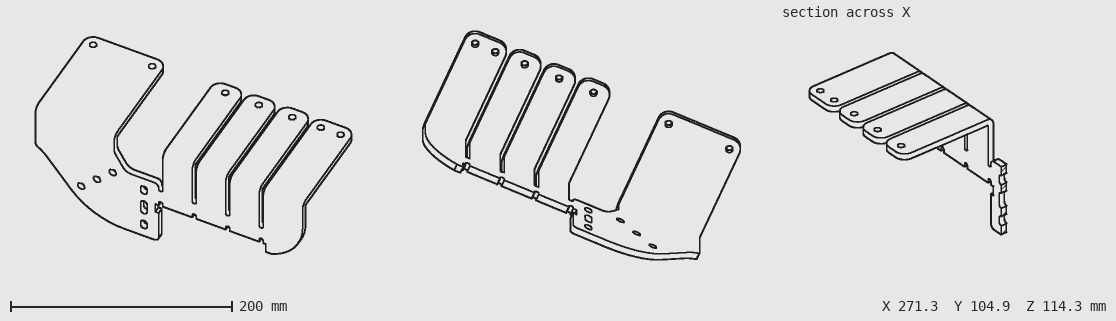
import cadquery as cq
import math

length = 271.27
flange_depth = 104.87
height = 114.3
thickness = 6.35
inner_bend_radius = 0.75
outer_bend_radius = inner_bend_radius + thickness
bend_z = height - outer_bend_radius

wide_tab_width = 80.0
end_tab_width = 40.0
relief_width = 4.0
relief_pitch = 34.0
narrow_tab_count = 3
tab_corner_radius = 10.0
tab_hole_diameter = 6.4
tab_hole_inset = 10.0

shelf_z = height - 41.0
relief_floor_z = height - 49.3
notch_roof_z = height - 63.1
spine_bottom_z = height - 68.1
foot_bottom_z = height - 78.0
last_relief_x = length - end_tab_width - relief_width / 2
relief_xs = [last_relief_x - i * relief_pitch for i in range(narrow_tab_count, -1, -1)]
plate_right_x = relief_xs[0] - relief_width / 2
step_depth = 3.5
step_left_x = plate_right_x - step_depth
foot_left_x = 233.9
plate_corner_radius = 5.0

shoulder_top_z = height - 20.5
shoulder_angle = math.radians(60)
shoulder_radius = 10.5

left_edge_bottom_z = height - 47.8
slant_start = (8.2, height - 53.6)
slant_angle = math.radians(51.2)
ledge_outer_radius = 5.0
ledge_inner_radius = 40.0
belly_radius = 70.0

end_radius = 50.0
foot_tip_x = 240.0

web_hole_diameter = 7.0
web_hole_pitch = 16.0
web_hole_count = 3
web_hole_first = (46.5, height - 79.6)
slot_width = 6.4
slot_x = 110.15
slot_middle_z = height - 77.6
slot_pitch = 22.0
short_slot_length = 9.8
long_slot_length = 15.9


def round_corner(plate, x, z, radius):
    """Round the plate edge that runs along Y through (x, z)."""
    corner = cq.selectors.NearestToPointSelector((x, thickness / 2, z))
    return plate.edges("|Y").edges(corner).fillet(radius)


def make_web():
    """Flat vertical plate, reaching up to the start of the bend."""
    shoulder_foot_x = wide_tab_width + (shoulder_top_z - shelf_z) / math.tan(shoulder_angle)
    slant_x, slant_z = slant_start
    belly_x = slant_x + slant_z / math.tan(slant_angle)
    end_center_x = length - end_radius
    end_center_z = foot_bottom_z + math.sqrt(end_radius**2 - (foot_tip_x - end_center_x) ** 2)
    tip_angle = math.atan2(foot_bottom_z - end_center_z, foot_tip_x - end_center_x)
    first_tab_left_x = plate_right_x + relief_width
    first_relief_base_z = relief_floor_z + relief_width / 2
    end_middle = (
        end_center_x + end_radius * math.cos(tip_angle / 2),
        end_center_z + end_radius * math.sin(tip_angle / 2),
    )
    plate = (
        cq.Workplane("XZ")
        .moveTo(0, bend_z)
        .lineTo(0, left_edge_bottom_z)
        .lineTo(slant_x, slant_z)
        .lineTo(belly_x, 0)
        .lineTo(plate_right_x, 0)
        .lineTo(plate_right_x, foot_bottom_z)
        .lineTo(step_left_x, foot_bottom_z)
        .lineTo(step_left_x, spine_bottom_z)
        .lineTo(foot_left_x, spine_bottom_z)
        .lineTo(foot_left_x, foot_bottom_z)
        .lineTo(foot_tip_x, foot_bottom_z)
        .threePointArc(end_middle, (length, end_center_z))
        .lineTo(length, bend_z)
        .lineTo(first_tab_left_x, bend_z)
        .lineTo(first_tab_left_x, first_relief_base_z)
        .lineTo(plate_right_x, first_relief_base_z)
        .lineTo(plate_right_x, shelf_z)
        .lineTo(shoulder_foot_x, shelf_z)
        .lineTo(wide_tab_width, shoulder_top_z)
        .lineTo(wide_tab_width, bend_z)
        .close()
        .extrude(-thickness)
    )
    rounded = [
        (0, left_edge_bottom_z, ledge_outer_radius),
        (slant_x, slant_z, ledge_inner_radius),
        (belly_x, 0, belly_radius),
        (plate_right_x, 0, plate_corner_radius),
        (plate_right_x, shelf_z, plate_corner_radius),
        (shoulder_foot_x, shelf_z, shoulder_radius),
        (wide_tab_width, shoulder_top_z, shoulder_radius),
    ]
    for x, z, radius in rounded:
        plate = round_corner(plate, x, z, radius)
    return plate


def make_tab(left_x, right_x):
    """Folded tab: the bend at the front, then a flat flange with rounded rear corners."""
    underside_z = height - thickness
    outer_mid = outer_bend_radius * (1 - math.sqrt(0.5))
    inner_mid = outer_bend_radius - inner_bend_radius * math.sqrt(0.5)
    return (
        cq.Workplane("YZ", origin=(left_x, 0, 0))
        .moveTo(0, bend_z)
        .threePointArc((outer_mid, height - outer_mid), (outer_bend_radius, height))
        .lineTo(flange_depth, height)
        .lineTo(flange_depth, underside_z)
        .lineTo(outer_bend_radius, underside_z)
        .threePointArc((inner_mid, height - inner_mid), (thickness, bend_z))
        .close()
        .extrude(right_x - left_x)
        .edges("|Z and >Y")
        .fillet(tab_corner_radius)
    )


def make_tabs():
    """The wide tab at the left, the narrow tabs and the end tab at the right."""
    tabs = make_tab(0, wide_tab_width)
    right_xs = [x - relief_width / 2 for x in relief_xs[1:]] + [length]
    for relief_x, right_x in zip(relief_xs, right_xs):
        tabs = tabs.union(make_tab(relief_x + relief_width / 2, right_x))
    return tabs


def drill_tab_holes(body):
    """One hole in each narrow tab and two in each of the outer tabs."""
    end_tab_left_x = length - end_tab_width
    hole_xs = [tab_hole_inset, wide_tab_width - tab_hole_inset]
    hole_xs += [(left + right) / 2 for left, right in zip(relief_xs, relief_xs[1:])]
    hole_xs += [end_tab_left_x + tab_hole_inset, length - tab_hole_inset]
    drills = (
        cq.Workplane("XY", origin=(0, 0, height))
        .pushPoints([(x, flange_depth - tab_hole_inset) for x in hole_xs])
        .circle(tab_hole_diameter / 2)
        .extrude(-thickness)
    )
    return body.cut(drills)


def web_slot(x, bottom_z, top_z, width):
    """Cutter for an upright slot with round ends, through the web."""
    return (
        cq.Workplane("XZ", origin=(x, 0, (bottom_z + top_z) / 2))
        .slot2D(top_z - bottom_z, width, 90)
        .extrude(-thickness)
    )


def cut_reliefs(web):
    """Slots between the tabs, each with a short notch below it."""
    overrun = relief_width
    for x in relief_xs:
        web = web.cut(web_slot(x, relief_floor_z, height + overrun, relief_width))
        web = web.cut(web_slot(x, spine_bottom_z - overrun, notch_roof_z, relief_width))
    return web


def cut_web_openings(web):
    """Diagonal row of holes and the column of three slots."""
    first_x, first_z = web_hole_first
    offsets = [i * web_hole_pitch for i in range(web_hole_count)]
    drills = (
        cq.Workplane("XZ")
        .pushPoints([(first_x + offset, first_z + offset) for offset in offsets])
        .circle(web_hole_diameter / 2)
        .extrude(-thickness)
    )
    web = web.cut(drills)
    slots = [
        (slot_middle_z + slot_pitch, short_slot_length),
        (slot_middle_z, long_slot_length),
        (slot_middle_z - slot_pitch, short_slot_length),
    ]
    for center_z, slot_length in slots:
        half = slot_length / 2
        web = web.cut(web_slot(slot_x, center_z - half, center_z + half, slot_width))
    return web


web = cut_web_openings(cut_reliefs(make_web()))
result = drill_tab_holes(web.union(make_tabs()))